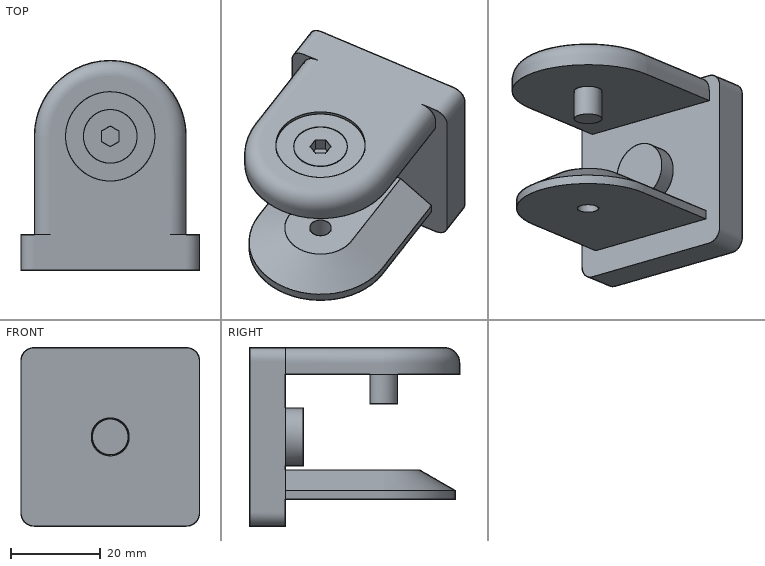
import cadquery as cq
import math

PLATE_SIZE = 40.0
PLATE_THICKNESS = 8.0
PLATE_CORNER_RADIUS = 3.0

PIVOT_Y = 30.0

UPPER_ARM_RADIUS = PLATE_SIZE / 2 - PLATE_CORNER_RADIUS
UPPER_ARM_THICKNESS = 6.0
UPPER_ARM_TOP_Z = PLATE_SIZE / 2
UPPER_ARM_BOTTOM_Z = UPPER_ARM_TOP_Z - UPPER_ARM_THICKNESS
UPPER_ARM_FILLET = 3.5

RECESS_DIAMETER = 20.0
RECESS_DEPTH = 0.7
RECESS_FLOOR_Z = UPPER_ARM_TOP_Z - RECESS_DEPTH
SCREW_HEAD_DIAMETER = 12.0
SCREW_HEAD_STEP = 0.1
HEX_ACROSS_FLATS = 4.0
HEX_DEPTH = 3.0
PIN_DIAMETER = 6.2
PIN_LENGTH = 6.6

LOWER_ARM_RADIUS = 16.0
LOWER_ARM_TOP_RADIUS = 8.0
LOWER_ARM_BOTTOM_Z = -14.0
LOWER_ARM_THICKNESS = 6.6
LOWER_ARM_RIM_HEIGHT = 2.0
LOWER_ARM_HOLE_DIAMETER = 4.8

BOLT_SHANK_DIAMETER = 8.0
BOLT_HOLE_DIAMETER = 8.5
BOLT_HEAD_DIAMETER = 13.0
BOLT_HEAD_HEIGHT = 4.0


def cylinder_on_pivot(diameter, bottom_z, height):
    """Upright cylinder on the pivot axis."""
    return cq.Workplane("XY", origin=(0, PIVOT_Y, bottom_z)).circle(diameter / 2).extrude(height)


def cylinder_through_plate(diameter, start_y, length):
    """Cylinder along +Y on the plate's centre line."""
    return cq.Workplane("XZ", origin=(0, start_y, 0)).circle(diameter / 2).extrude(-length)


def arm_blank(radius, bottom_z, height):
    """Round-ended flat arm starting on the inner face of the plate."""
    return (
        cq.Workplane("XY", origin=(0, 0, bottom_z))
        .moveTo(-radius, PLATE_THICKNESS)
        .lineTo(radius, PLATE_THICKNESS)
        .lineTo(radius, PIVOT_Y)
        .threePointArc((0, PIVOT_Y + radius), (-radius, PIVOT_Y))
        .close()
        .extrude(height)
    )


def make_plate():
    return (
        cq.Workplane("XZ")
        .rect(PLATE_SIZE, PLATE_SIZE)
        .extrude(-PLATE_THICKNESS)
        .edges("|Y")
        .fillet(PLATE_CORNER_RADIUS)
    )


def make_upper_arm():
    blank = arm_blank(UPPER_ARM_RADIUS, UPPER_ARM_BOTTOM_Z, UPPER_ARM_THICKNESS)
    arm = blank.faces(">Z").edges("not <Y").fillet(UPPER_ARM_FILLET)
    return arm.cut(cylinder_on_pivot(RECESS_DIAMETER, RECESS_FLOOR_Z, RECESS_DEPTH))


def make_lower_arm():
    """Rim, a cone for the sloped round end, and a trapezoid bar back to the plate."""
    rim_top_z = LOWER_ARM_BOTTOM_Z + LOWER_ARM_RIM_HEIGHT
    top_z = LOWER_ARM_BOTTOM_Z + LOWER_ARM_THICKNESS
    rim = arm_blank(LOWER_ARM_RADIUS, LOWER_ARM_BOTTOM_Z, LOWER_ARM_RIM_HEIGHT)
    sloped_bar = (
        cq.Workplane("XZ", origin=(0, PLATE_THICKNESS, 0))
        .moveTo(-LOWER_ARM_RADIUS, rim_top_z)
        .lineTo(LOWER_ARM_RADIUS, rim_top_z)
        .lineTo(LOWER_ARM_TOP_RADIUS, top_z)
        .lineTo(-LOWER_ARM_TOP_RADIUS, top_z)
        .close()
        .extrude(-(PIVOT_Y - PLATE_THICKNESS))
    )
    sloped_end = (
        cq.Workplane("XZ", origin=(0, PIVOT_Y, 0))
        .moveTo(0, rim_top_z)
        .lineTo(LOWER_ARM_RADIUS, rim_top_z)
        .lineTo(LOWER_ARM_TOP_RADIUS, top_z)
        .lineTo(0, top_z)
        .close()
        .revolve(360, (0, 0, 0), (0, 1, 0))
    )
    hole = cylinder_on_pivot(LOWER_ARM_HOLE_DIAMETER, LOWER_ARM_BOTTOM_Z, LOWER_ARM_THICKNESS)
    return rim.union(sloped_bar).union(sloped_end).cut(hole)


def add_pivot_screw(body):
    """Screw head just proud of the recess floor, its hex socket, and the pin below the arm."""
    head = cylinder_on_pivot(SCREW_HEAD_DIAMETER, RECESS_FLOOR_Z, SCREW_HEAD_STEP)
    pin = cylinder_on_pivot(PIN_DIAMETER, UPPER_ARM_BOTTOM_Z - PIN_LENGTH, PIN_LENGTH)
    hex_across_corners = HEX_ACROSS_FLATS / math.cos(math.radians(30))
    socket = (
        cq.Workplane("XY", origin=(0, PIVOT_Y, RECESS_FLOOR_Z + SCREW_HEAD_STEP))
        .transformed(rotate=(0, 0, 90))
        .polygon(6, hex_across_corners)
        .extrude(-HEX_DEPTH)
    )
    return body.union(head).union(pin).cut(socket)


def add_plate_bolt(body):
    """Bolt head behind the plate and the shank left standing inside its clearance gap."""
    gap = cylinder_through_plate(BOLT_HOLE_DIAMETER, 0, PLATE_THICKNESS)
    shank = cylinder_through_plate(BOLT_SHANK_DIAMETER, 0, PLATE_THICKNESS)
    head = cylinder_through_plate(BOLT_HEAD_DIAMETER, PLATE_THICKNESS, BOLT_HEAD_HEIGHT)
    return body.cut(gap).union(shank).union(head)


bracket = make_plate().union(make_upper_arm()).union(make_lower_arm())
bracket = add_pivot_screw(bracket)
result = add_plate_bolt(bracket)